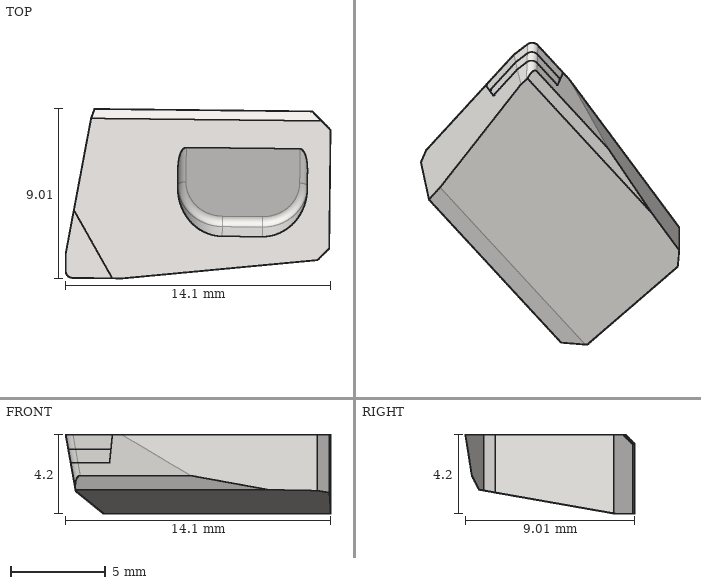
import cadquery as cq
import math


RIGHT_X = 13.99
BACK_Y = 8.99
HEIGHT = 4.2
TURN_ANGLE = 0.64
TRIM_SIZE = 56.28

RELIEF_ANGLE = 10
LEFT_LEAN_ANGLE = 10
LEFT_LEAN_START_Y = 1.34
FRONT_LEAN_ANGLE = 6
FRONT_LEAN_START_X = 3.0
NOSE_RADIUS = 0.4
BACK_RIGHT_CHAMFER = 0.98
FRONT_RIGHT_CHAMFER = 0.56
TOP_BACK_CHAMFER = 0.5

SECOND_RELIEF_DEPTH = 2.18
SECOND_RELIEF_ANGLE = 30
UNDERSIDE_DEPTH = 2.93
UNDERSIDE_ANGLE = 10

CORNER_FRONT_X = 2.49
CORNER_ANGLE = 30
TIP_THICKNESS = 0.77
BACKING_THICKNESS = 0.72

POCKET_CENTER_X = 9.34
POCKET_BACK_Y = 6.99
POCKET_FLOOR_ANGLE = 22.5
POCKET_WIDTH = 6.88
POCKET_LENGTH = 4.33
POCKET_CORNER_RADIUS = 2.38
POCKET_FLOOR_RADIUS = 0.42
POCKET_OVERRUN = 1.4
POCKET_CUTTER_HEIGHT = 4.22


def sin(angle):
    return math.sin(math.radians(angle))


def cos(angle):
    return math.cos(math.radians(angle))


def tan(angle):
    return math.tan(math.radians(angle))


def trim(body, point, outward):
    """Remove everything on the outward side of the plane through point."""
    plane = cq.Plane(origin=point, normal=outward)
    return body.cut(cq.Workplane(plane).rect(TRIM_SIZE, TRIM_SIZE).extrude(TRIM_SIZE))


def make_block():
    block = cq.Workplane("XY").box(RIGHT_X, BACK_Y, HEIGHT, centered=False)
    block = block.translate((0, 0, -HEIGHT))

    relief_drop = -tan(RELIEF_ANGLE)
    block = trim(block, (0, 0, 0), (0, -1, relief_drop))
    block = trim(block, (0, 0, 0), (-1, 0, relief_drop))
    nose_bottom = HEIGHT * tan(RELIEF_ANGLE)
    nose_middle = (nose_bottom / 2, nose_bottom / 2, -HEIGHT / 2)
    block = block.edges(cq.NearestToPointSelector(nose_middle)).fillet(NOSE_RADIUS)

    left_normal = (-cos(LEFT_LEAN_ANGLE), sin(LEFT_LEAN_ANGLE), relief_drop)
    block = trim(block, (0, LEFT_LEAN_START_Y, 0), left_normal)
    front_normal = (sin(FRONT_LEAN_ANGLE), -cos(FRONT_LEAN_ANGLE), 0)
    block = trim(block, (FRONT_LEAN_START_X, 0, 0), front_normal)

    block = trim(block, (RIGHT_X, BACK_Y - BACK_RIGHT_CHAMFER, 0), (1, 1, 0))
    front_right_y = (RIGHT_X - FRONT_LEAN_START_X) * tan(FRONT_LEAN_ANGLE)
    block = trim(block, (RIGHT_X, front_right_y + FRONT_RIGHT_CHAMFER, 0), (1, -1, 0))
    block = trim(block, (0, BACK_Y, -TOP_BACK_CHAMFER), (0, 1, 1))

    second_y = SECOND_RELIEF_DEPTH * tan(RELIEF_ANGLE)
    second_normal = (0, -cos(SECOND_RELIEF_ANGLE), -sin(SECOND_RELIEF_ANGLE))
    block = trim(block, (0, second_y, -SECOND_RELIEF_DEPTH), second_normal)
    underside_y = second_y + (UNDERSIDE_DEPTH - SECOND_RELIEF_DEPTH) * tan(SECOND_RELIEF_ANGLE)
    underside_normal = (0, -sin(UNDERSIDE_ANGLE), -cos(UNDERSIDE_ANGLE))
    return trim(block, (0, underside_y, -UNDERSIDE_DEPTH), underside_normal)


def make_pocket_cutter():
    floor = cq.Plane(
        origin=(POCKET_CENTER_X, POCKET_BACK_Y, 0),
        xDir=(1, 0, 0),
        normal=(0, -sin(POCKET_FLOOR_ANGLE), cos(POCKET_FLOOR_ANGLE)),
    )
    half_width = POCKET_WIDTH / 2
    half_front = half_width - POCKET_CORNER_RADIUS
    corner_y = POCKET_CORNER_RADIUS - POCKET_LENGTH
    mid_x = half_front + POCKET_CORNER_RADIUS * cos(45)
    mid_y = corner_y - POCKET_CORNER_RADIUS * sin(45)
    return (
        cq.Workplane(floor)
        .moveTo(-half_width, POCKET_OVERRUN)
        .lineTo(-half_width, corner_y)
        .threePointArc((-mid_x, mid_y), (-half_front, -POCKET_LENGTH))
        .lineTo(half_front, -POCKET_LENGTH)
        .threePointArc((mid_x, mid_y), (half_width, corner_y))
        .lineTo(half_width, POCKET_OVERRUN)
        .close()
        .extrude(POCKET_CUTTER_HEIGHT)
        .faces(cq.NearestToPointSelector(floor.toWorldCoords((0, -POCKET_LENGTH / 2, 0))))
        .edges()
        .fillet(POCKET_FLOOR_RADIUS)
    )


def make_corner_layer(block, top_depth, thickness):
    """Slice of the block in front of the corner joint, starting at top_depth."""
    corner_back_y = CORNER_FRONT_X / tan(CORNER_ANGLE)
    prism = (
        cq.Workplane("XY")
        .workplane(offset=-top_depth)
        .polyline([(0, 0), (CORNER_FRONT_X, 0), (0, corner_back_y)])
        .close()
        .extrude(-thickness)
    )
    return block.intersect(prism)


def turn(body):
    return body.rotate((0, 0, 0), (0, 0, 1), -TURN_ANGLE)


block = make_block()
cutting_tip = make_corner_layer(block, 0, TIP_THICKNESS)
tip_backing = make_corner_layer(block, TIP_THICKNESS, BACKING_THICKNESS)
holder = block.cut(cutting_tip).cut(tip_backing).cut(make_pocket_cutter())

result = cq.Compound.makeCompound([
    turn(holder).solids().val(),
    turn(cutting_tip).solids().val(),
    turn(tip_backing).solids().val(),
])